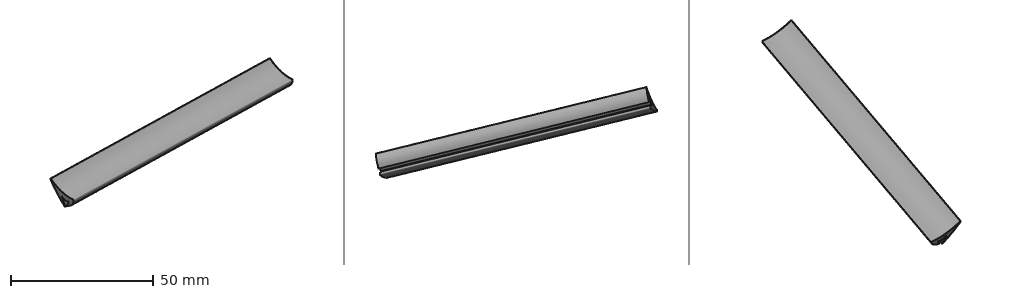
import cadquery as cq
import math

LENGTH = 100.0
WIDTH = 12.91
HEIGHT = 7.84

TROUGH_X = 8.0
TROUGH_Z = 5.8

LIP_RADIUS = 0.3
SHOULDER_RADIUS = 0.5
LEG_TIP_RADIUS = 0.32
LEG_TIP_X = 8.08
HOOK_TIP_RADIUS = 0.4
HOOK_TIP_CENTER = (9.82, 1.98)

LONG_FLANK_BULGE = 0.35
SHORT_FLANK_BULGE = 0.52

LIP_FLANK_ANGLE = 220
LEG_FLANK_ANGLE = 232
LEG_NOTCH_ANGLE = 390
HOOK_NOTCH_ANGLE = 140
HOOK_FLANK_ANGLE = 312
SHOULDER_FLANK_ANGLE = -12

NOTCH_ROOF_Z = 3.2
NOTCH_LEFT_X = 6.45
NOTCH_RIGHT_X = 9.95
CORNER_RISE = 0.4
CORNER_WIDTH = 0.6

HOOK_SHELF_Z = 2.85


def polar(center, radius, angle):
    """Point on a circle, with the angle in degrees from +X towards +Z."""
    turn = math.radians(angle)
    return (center[0] + radius * math.cos(turn), center[1] + radius * math.sin(turn))


def round_end(center, radius, start_angle, end_angle):
    """Start, middle and end points of an arc running between two directions."""
    middle_angle = (start_angle + end_angle) / 2
    return [polar(center, radius, angle) for angle in (start_angle, middle_angle, end_angle)]


def bulge_point(start, end, bulge):
    """Point beside the middle of a chord, offset to the right of its direction."""
    dx = end[0] - start[0]
    dz = end[1] - start[1]
    chord = math.hypot(dx, dz)
    return (
        (start[0] + end[0]) / 2 + bulge * dz / chord,
        (start[1] + end[1]) / 2 - bulge * dx / chord,
    )


def trough_angle(center_x, radius):
    """Direction from the trough axis to a round end that is tangent to the trough."""
    return math.degrees(math.asin((center_x - TROUGH_X) / (trough_radius + radius))) - 90


lip_center = (LIP_RADIUS, HEIGHT - LIP_RADIUS)
lip_run = TROUGH_X - lip_center[0]
lip_rise = lip_center[1] - TROUGH_Z
trough_radius = (lip_run**2 + lip_rise**2 - LIP_RADIUS**2) / (2 * (lip_rise + LIP_RADIUS))
trough_axis = (TROUGH_X, TROUGH_Z + trough_radius)

shoulder_trough_angle = trough_angle(WIDTH - SHOULDER_RADIUS, SHOULDER_RADIUS)
shoulder_center = polar(trough_axis, trough_radius + SHOULDER_RADIUS, shoulder_trough_angle)
leg_center = (LEG_TIP_X, LEG_TIP_RADIUS)


def profile():
    """Closed section outline, drawn from the lip down the long flank and back along the trough."""
    lip_top_angle = trough_angle(lip_center[0], LIP_RADIUS) + 180
    shoulder_top_angle = shoulder_trough_angle + 180

    lip_start, lip_middle, lip_end = round_end(lip_center, LIP_RADIUS, lip_top_angle, LIP_FLANK_ANGLE)
    leg_start, leg_middle, leg_end = round_end(
        leg_center, LEG_TIP_RADIUS, LEG_FLANK_ANGLE, LEG_NOTCH_ANGLE
    )
    hook_start, hook_middle, hook_end = round_end(
        HOOK_TIP_CENTER, HOOK_TIP_RADIUS, HOOK_NOTCH_ANGLE, HOOK_FLANK_ANGLE
    )
    shoulder_start, shoulder_middle, shoulder_end = round_end(
        shoulder_center, SHOULDER_RADIUS, SHOULDER_FLANK_ANGLE, shoulder_top_angle
    )
    pocket_top_z = NOTCH_ROOF_Z + CORNER_RISE
    return (
        cq.Workplane("XZ")
        .moveTo(*lip_start)
        .threePointArc(lip_middle, lip_end)
        .threePointArc(bulge_point(lip_end, leg_start, LONG_FLANK_BULGE), leg_start)
        .threePointArc(leg_middle, leg_end)
        .lineTo(NOTCH_LEFT_X, pocket_top_z)
        .lineTo(NOTCH_LEFT_X + CORNER_WIDTH, NOTCH_ROOF_Z)
        .lineTo(NOTCH_RIGHT_X - CORNER_WIDTH, NOTCH_ROOF_Z)
        .lineTo(NOTCH_RIGHT_X, pocket_top_z)
        .lineTo(NOTCH_RIGHT_X, HOOK_SHELF_Z)
        .lineTo(*hook_start)
        .threePointArc(hook_middle, hook_end)
        .threePointArc(bulge_point(hook_end, shoulder_start, SHORT_FLANK_BULGE), shoulder_start)
        .threePointArc(shoulder_middle, shoulder_end)
        .threePointArc((TROUGH_X, TROUGH_Z), lip_start)
        .close()
    )


result = profile().extrude(-LENGTH)